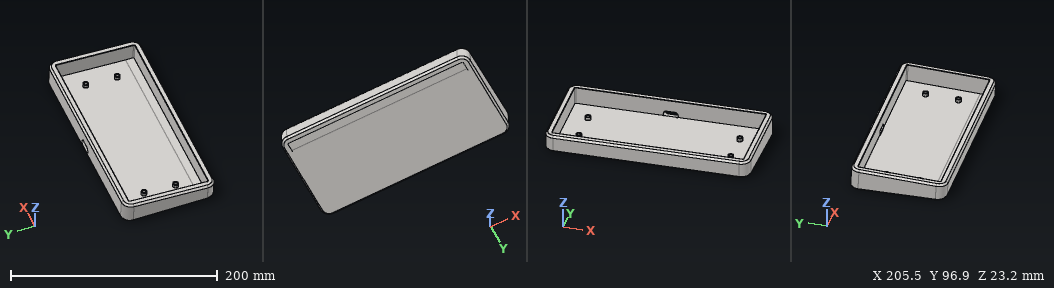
import cadquery as cq
import math

tilt = 3.0
width = 205.5
depth = 96.0
back_height = 23.2
corner_radius = 9.5
edge_chamfer = 2.0

wall = 6.8
cavity_corner_radius = 1.0
lip_chamfer = 0.5
floor_depth = 18.0
floor_thickness = 1.05

boss_diameter = 5.5
boss_hole_diameter = 3.3
boss_height = 3.5
boss_spacing_x = 152.3
boss_spacing_y = 32.9
boss_center_y = 0.5

slot_width = 15.0
slot_height = 7.0
slot_center_depth = 16.5

margin = 10.3

rim_height = back_height - (depth / 2 - edge_chamfer) * math.sin(math.radians(tilt))
rim = cq.Plane(origin=(0, 0, rim_height)).rotated((tilt, 0, 0))


def below_rim(distance):
    """Workplane parallel to the rim, a given distance below it."""
    return cq.Workplane(rim).workplane(offset=-distance)


def level_space(bottom):
    """Large level block that keeps everything above a given height."""
    size = 2 * width
    return cq.Workplane("XY", origin=(0, 0, bottom)).box(size, size, size, centered=(True, True, False))


def make_shell():
    block_depth = back_height + margin
    block = below_rim(block_depth).rect(width, depth).extrude(block_depth)
    block = block.edges(cq.selectors.ParallelDirSelector(rim.zDir)).fillet(corner_radius)
    shell = block.intersect(level_space(0))
    shell = shell.faces(cq.selectors.DirectionMinMaxSelector(rim.zDir, True)).chamfer(edge_chamfer)
    return shell.faces("<Z").chamfer(edge_chamfer)


def make_cavity():
    cavity = below_rim(floor_depth).rect(width - 2 * wall, depth - 2 * wall).extrude(floor_depth + margin)
    cavity = cavity.edges(cq.selectors.ParallelDirSelector(rim.zDir)).fillet(cavity_corner_radius)
    return cavity.intersect(level_space(floor_thickness))


def make_lip_bevel():
    """Shallow plug, flaring by 45 degrees, that bevels the cavity mouth."""
    plug = cq.Sketch().rect(width - 2 * wall, depth - 2 * wall).vertices().fillet(cavity_corner_radius)
    return below_rim(lip_chamfer).placeSketch(plug).extrude(lip_chamfer, taper=-45)


def make_bosses():
    return (
        below_rim(floor_depth)
        .center(0, boss_center_y)
        .rarray(boss_spacing_x, boss_spacing_y, 2, 2)
        .circle(boss_diameter / 2)
        .circle(boss_hole_diameter / 2)
        .extrude(boss_height)
    )


def make_cable_slot():
    inner_face = cq.Plane(
        origin=rim.toWorldCoords((0, depth / 2 - wall, -slot_center_depth)),
        xDir=(1, 0, 0),
        normal=-rim.yDir,
    )
    return cq.Workplane(inner_face).slot2D(slot_width, slot_height).extrude(-wall - margin)


case = make_shell().cut(make_cavity()).cut(make_lip_bevel()).cut(make_cable_slot())
result = case.union(make_bosses())